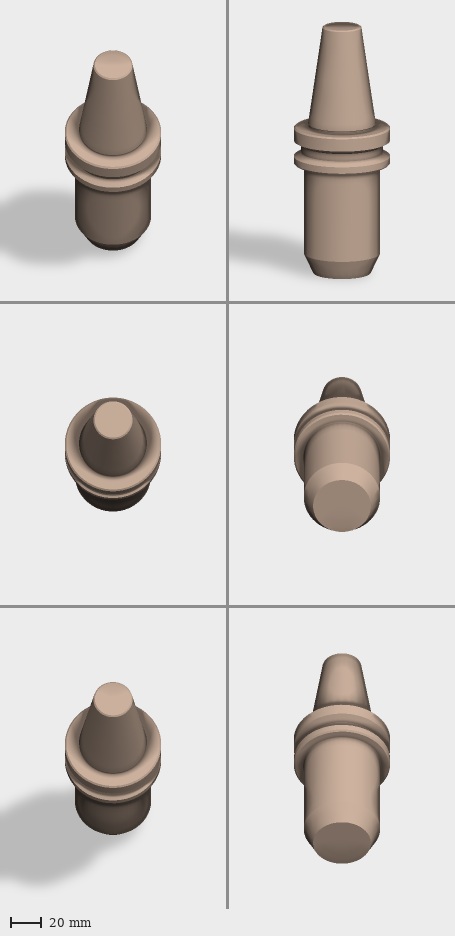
import cadquery as cq
import math

total_height = 165.4
gauge_z = 100.0
flange_top_z = 98.0
flange_bottom_z = 73.0
nose_height = 13.0

gauge_radius = 22.2
taper_ratio = 7 / 24
tip_chamfer = 0.8
neck_radius = 21.7
neck_lead_in = 0.5
neck_fillet = 0.7

flange_radius = 31.51
flange_chamfer = 1.0
groove_radius = 26.6
groove_center_z = 83.5
groove_floor_width = 5.0
groove_flank_angle = 30

body_radius = 25.0
body_fillet = 0.8
nose_angle = 25


def taper_radius(z):
    """Radius of the taper shank at height z."""
    return gauge_radius - (z - gauge_z) * taper_ratio / 2


nose_radius = body_radius - nose_height * math.tan(math.radians(nose_angle))
groove_depth = flange_radius - groove_radius
flank_height = groove_depth * math.tan(math.radians(groove_flank_angle))
floor_bottom_z = groove_center_z - groove_floor_width / 2
floor_top_z = groove_center_z + groove_floor_width / 2
tip_radius = taper_radius(total_height)
tip_edge_z = total_height - tip_chamfer

fillet_mid_ratio = 1 - math.sqrt(0.5)
body_fillet_mid = body_fillet * fillet_mid_ratio
neck_fillet_mid = neck_fillet * fillet_mid_ratio

half_section = (
    cq.Workplane("XZ")
    .lineTo(nose_radius, 0)
    .lineTo(body_radius, nose_height)
    .lineTo(body_radius, flange_bottom_z - body_fillet)
    .threePointArc(
        (body_radius + body_fillet_mid, flange_bottom_z - body_fillet_mid),
        (body_radius + body_fillet, flange_bottom_z),
    )
    .lineTo(flange_radius - flange_chamfer, flange_bottom_z)
    .lineTo(flange_radius, flange_bottom_z + flange_chamfer)
    .lineTo(flange_radius, floor_bottom_z - flank_height)
    .lineTo(groove_radius, floor_bottom_z)
    .lineTo(groove_radius, floor_top_z)
    .lineTo(flange_radius, floor_top_z + flank_height)
    .lineTo(flange_radius, flange_top_z - flange_chamfer)
    .lineTo(flange_radius - flange_chamfer, flange_top_z)
    .lineTo(neck_radius + neck_fillet, flange_top_z)
    .threePointArc(
        (neck_radius + neck_fillet_mid, flange_top_z + neck_fillet_mid),
        (neck_radius, flange_top_z + neck_fillet),
    )
    .lineTo(neck_radius, gauge_z - neck_lead_in)
    .lineTo(gauge_radius, gauge_z)
    .lineTo(taper_radius(tip_edge_z), tip_edge_z)
    .lineTo(tip_radius - tip_chamfer, total_height)
    .lineTo(0, total_height)
    .close()
)

result = half_section.revolve(360, (0, 0, 0), (0, 1, 0))